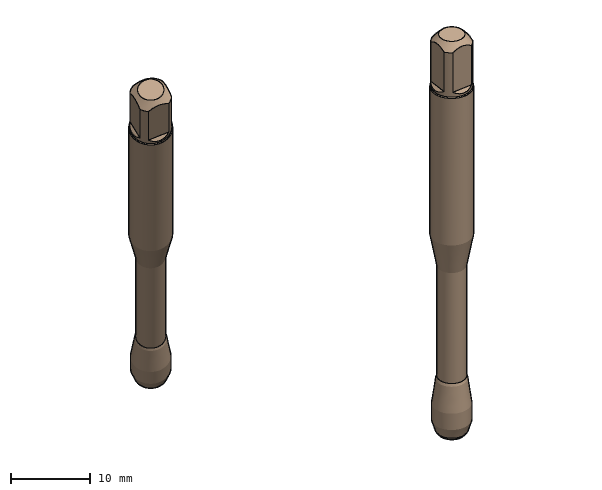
import cadquery as cq

total_length = 60.1
shank_diameter = 5.5
neck_diameter = 3.8

drive_diameter = 5.3
drive_across_flats = 4.45
drive_top_diameter = 3.3
drive_chamfer_height = 1.1
flat_count = 4
flat_start_z = 53.05
ramp_bottom_z = 52.65

shoulder_top_z = 52.35
shoulder_bottom_z = 52.2

neck_taper_top_z = 30.0
neck_taper_bottom_z = 25.25

head_diameter = 5.1
head_top_z = 8.6
head_collar_z = 8.2
head_collar_diameter = 4.1
head_cylinder_top_z = 4.45
head_cylinder_bottom_z = 2.0
tip_edge_diameter = 4.2
tip_edge_z = 0.5
tip_diameter = 3.5


def turned_body(steps):
    """Revolve (diameter, z) steps, listed from the bottom up, about the Z axis."""
    outline = [(diameter / 2, z) for diameter, z in steps]
    bottom_z = steps[0][1]
    top_z = steps[-1][1]
    profile = cq.Workplane("XZ").polyline([(0, bottom_z), *outline, (0, top_z)]).close()
    return profile.revolve(360, (0, 0, 0), (0, 1, 0))


def drive_flat_cutter(angle):
    """Material outside one flat, ending below in a ramp that climbs inward to the flat."""
    flat_x = drive_across_flats / 2
    outer_x = shank_diameter
    ramp_slope = (flat_start_z - ramp_bottom_z) / (drive_diameter / 2 - flat_x)
    outer_z = flat_start_z - ramp_slope * (outer_x - flat_x)
    profile = cq.Workplane("XZ").polyline([
        (flat_x, flat_start_z),
        (outer_x, outer_z),
        (outer_x, total_length),
        (flat_x, total_length),
    ]).close()
    cutter = profile.extrude(shank_diameter, both=True)
    return cutter.rotate((0, 0, 0), (0, 0, 1), angle)


def make_shank():
    """Neck, taper, cylindrical shank and square drive."""
    shank_body = turned_body([
        (neck_diameter, head_top_z),
        (neck_diameter, neck_taper_bottom_z),
        (shank_diameter, neck_taper_top_z),
        (shank_diameter, shoulder_bottom_z),
        (drive_diameter, shoulder_top_z),
        (drive_diameter, total_length - drive_chamfer_height),
        (drive_top_diameter, total_length),
    ])
    for index in range(flat_count):
        shank_body = shank_body.cut(drive_flat_cutter(index * 360 / flat_count))
    return shank_body


def make_head():
    """Cutting head, tapered at both ends, that meets the neck face to face."""
    return turned_body([
        (tip_diameter, 0),
        (tip_edge_diameter, tip_edge_z),
        (head_diameter, head_cylinder_bottom_z),
        (head_diameter, head_cylinder_top_z),
        (head_collar_diameter, head_collar_z),
        (neck_diameter, head_top_z),
    ])


shank = make_shank()
head = make_head()

result = cq.Compound.makeCompound([shank.val(), head.val()])